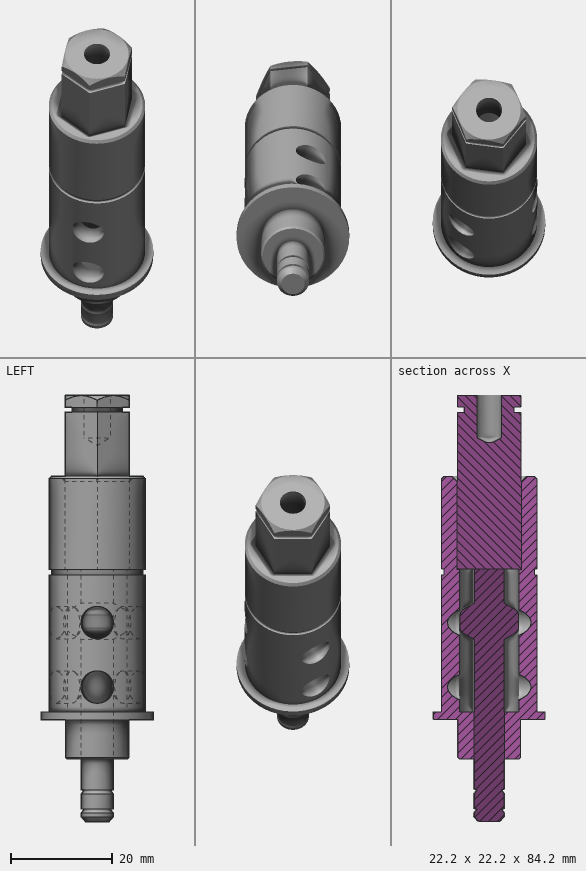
import cadquery as cq
import math

TOTAL_HEIGHT = 84.25
COLLAR_BOTTOM = 12.4
FLANGE_BOTTOM = 20.1
FLANGE_TOP = 21.7
GROOVE_BOTTOM = 48.8
GROOVE_TOP = 49.9
HOUSING_TOP = 68.25

HOUSING_DIAMETER = 19.0
HOUSING_CHAMFER = 0.5
FLANGE_DIAMETER = 22.2
COLLAR_DIAMETER = 12.55
COLLAR_CHAMFER = 0.3
GROOVE_DEPTH = 0.5
BORE_DIAMETER = 11.8
BORE_FLOOR = FLANGE_TOP
BORE_CEILING = GROOVE_TOP
PORT_DIAMETER = 6.4
PORT_HEIGHTS = (26.6, 39.35)
PORT_ANGLES = (60, 180, 300)
PORT_SHOULDER_RADIUS = 5.8
PORT_TAPER_ANGLE = 40.0
SOCKET_CHAMFER = 1.0

HEX_FLATS = 12.7
HEX_CORNERS = HEX_FLATS / math.cos(math.radians(30))
PLUNGER_BOTTOM = BORE_CEILING
NECK_DIAMETER = 10.0
NECK_BOTTOM = 80.9
NECK_TOP = 81.8
HEAD_FACE_DIAMETER = 12.5
HEAD_BEVEL_HEIGHT = 1.0
DRILL_DIAMETER = 5.1
DRILL_DEPTH = 8.4
DRILL_POINT_ANGLE = 118.0

STEM_DIAMETER = 6.3
TIP_DIAMETER = 4.55
TIP_HEIGHT = 1.0
BARB_DEPTH = 0.5
BARB_HEIGHT = 0.8
BARB_BASES = (1.8, 5.6)
PISTON_DIAMETER = BORE_DIAMETER
PISTON_BOTTOM_RIM = 37.6
PISTON_TOP_RIM = 41.6
PISTON_RIM_FILLET = 1.3
PISTON_CONE_ANGLE = 120.0


def cylinder(diameter, bottom, top):
    return cq.Workplane("XY").workplane(offset=bottom).circle(diameter / 2).extrude(top - bottom)


def hex_prism(bottom, top):
    return cq.Workplane("XY").workplane(offset=bottom).polygon(6, HEX_CORNERS).extrude(top - bottom)


def ring_groove(outer_diameter, inner_diameter, bottom, top):
    return cylinder(outer_diameter, bottom, top).cut(cylinder(inner_diameter, bottom, top))


def revolve_profile(points):
    """Solid of revolution about Z from a closed (radius, z) outline."""
    return cq.Workplane("XZ").polyline(points).close().revolve(360, (0, 0), (0, 1))


def housing_shell():
    collar = cylinder(COLLAR_DIAMETER, COLLAR_BOTTOM, FLANGE_BOTTOM).faces("<Z").chamfer(COLLAR_CHAMFER)
    flange = cylinder(FLANGE_DIAMETER, FLANGE_BOTTOM, FLANGE_TOP)
    barrel = cylinder(HOUSING_DIAMETER, FLANGE_TOP, HOUSING_TOP).faces(">Z").chamfer(HOUSING_CHAMFER)
    groove_floor = HOUSING_DIAMETER - 2 * GROOVE_DEPTH
    groove = ring_groove(FLANGE_DIAMETER, groove_floor, GROOVE_BOTTOM, GROOVE_TOP)
    return collar.union(flange).union(barrel).cut(groove)


def hex_socket():
    """Hexagonal hole whose mouth flares at 45 degrees, with conical corners."""
    straight = hex_prism(BORE_CEILING, HOUSING_TOP)
    flare = (
        cq.Workplane("XY")
        .workplane(offset=HOUSING_TOP - SOCKET_CHAMFER)
        .polygon(6, HEX_CORNERS)
        .extrude(SOCKET_CHAMFER, taper=-45)
    )
    return straight.union(flare)


def side_port(height, angle):
    """Radial port that tapers inward near the bore and stops beside the stem rod."""
    mouth_radius = PORT_DIAMETER / 2
    inner_end = STEM_DIAMETER / 2
    taper_length = PORT_SHOULDER_RADIUS - inner_end
    inner_radius = mouth_radius - taper_length * math.tan(math.radians(PORT_TAPER_ANGLE / 2))
    return (
        revolve_profile([
            (0, inner_end),
            (inner_radius, inner_end),
            (mouth_radius, PORT_SHOULDER_RADIUS),
            (mouth_radius, HOUSING_DIAMETER),
            (0, HOUSING_DIAMETER),
        ])
        .rotate((0, 0, 0), (0, 1, 0), 90)
        .translate((0, 0, height))
        .rotate((0, 0, 0), (0, 0, 1), angle)
    )


def make_housing():
    bore = cylinder(BORE_DIAMETER, BORE_FLOOR, BORE_CEILING)
    stem_hole = cylinder(STEM_DIAMETER, COLLAR_BOTTOM, BORE_FLOOR)
    housing_body = housing_shell().cut(bore).cut(stem_hole).cut(hex_socket())
    for height in PORT_HEIGHTS:
        for angle in PORT_ANGLES:
            housing_body = housing_body.cut(side_port(height, angle))
    return housing_body


def make_plunger():
    corner_radius = HEX_CORNERS / 2
    bevel_envelope = revolve_profile([
        (0, PLUNGER_BOTTOM),
        (corner_radius, PLUNGER_BOTTOM),
        (corner_radius, TOTAL_HEIGHT - HEAD_BEVEL_HEIGHT),
        (HEAD_FACE_DIAMETER / 2, TOTAL_HEIGHT),
        (0, TOTAL_HEIGHT),
    ])
    neck_groove = ring_groove(FLANGE_DIAMETER, NECK_DIAMETER, NECK_BOTTOM, NECK_TOP)
    drill_radius = DRILL_DIAMETER / 2
    drill_shoulder = TOTAL_HEIGHT - DRILL_DEPTH
    point_height = drill_radius / math.tan(math.radians(DRILL_POINT_ANGLE / 2))
    drilling = revolve_profile([
        (0, TOTAL_HEIGHT),
        (drill_radius, TOTAL_HEIGHT),
        (drill_radius, drill_shoulder),
        (0, drill_shoulder - point_height),
    ])
    return hex_prism(PLUNGER_BOTTOM, TOTAL_HEIGHT).intersect(bevel_envelope).cut(neck_groove).cut(drilling)


def piston():
    """Band that runs into the rod through a cone at each end, with filleted rims."""
    rod_radius = STEM_DIAMETER / 2
    band_radius = PISTON_DIAMETER / 2
    cone_height = (band_radius - rod_radius) / math.tan(math.radians(PISTON_CONE_ANGLE / 2))
    blank = revolve_profile([
        (0, PISTON_BOTTOM_RIM - cone_height),
        (rod_radius, PISTON_BOTTOM_RIM - cone_height),
        (band_radius, PISTON_BOTTOM_RIM),
        (band_radius, PISTON_TOP_RIM),
        (rod_radius, PISTON_TOP_RIM + cone_height),
        (0, PISTON_TOP_RIM + cone_height),
    ])
    rims = cq.selectors.RadiusNthSelector(-1)
    return blank.edges("%CIRCLE").edges(rims).fillet(PISTON_RIM_FILLET)


def make_stem():
    radius = STEM_DIAMETER / 2
    outline = [(0, 0), (TIP_DIAMETER / 2, 0), (radius, TIP_HEIGHT)]
    for base in BARB_BASES:
        outline += [
            (radius, base),
            (radius - BARB_DEPTH, base + BARB_HEIGHT),
            (radius, base + BARB_HEIGHT),
        ]
    outline += [(radius, PLUNGER_BOTTOM), (0, PLUNGER_BOTTOM)]
    return revolve_profile(outline).union(piston())


housing = make_housing()
plunger = make_plunger()
stem = make_stem()

result = cq.Compound.makeCompound([housing.val(), plunger.val(), stem.val()])